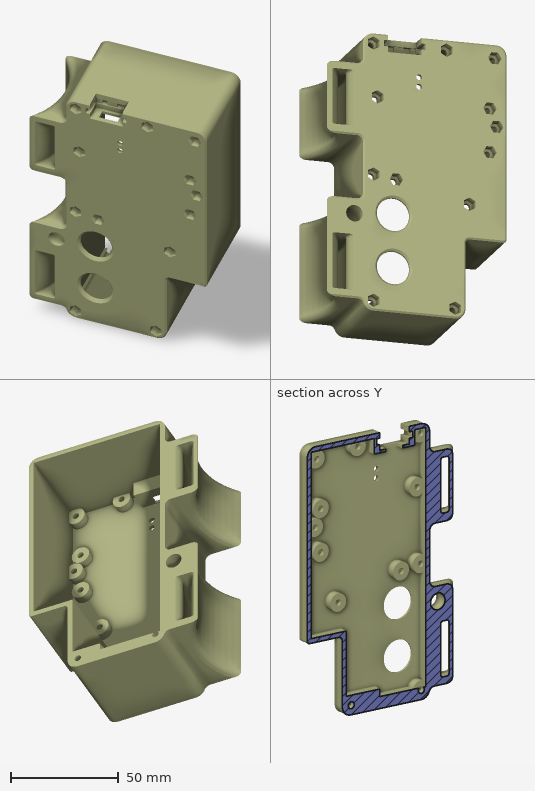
import cadquery as cq
import math

DEPTH = 44.75
HEIGHT = 135.0
WIDTH = 87.99
BODY_LEFT = 18.0
LOWER_RIGHT = 68.0
STEP_Z = 39.2
UPPER_LOBE = (84.7, 119.9)
LOWER_LOBE = (5.2, 54.0)

BODY_RADIUS = 5.0
LOBE_RADIUS = 3.0
STEP_INNER_RADIUS = 2.0
STEP_OUTER_RADIUS = 1.5
FRONT_CHAMFER = 0.8

TINY_LENGTH = 1e-6

WALL = 2.5
FLOOR = 6.1
FRONT_PLATE = 2.0

LEDGE_LEFT = 45.6
LEDGE_SLANT = 7.5
LEDGE_TOP = 9.8

GRIP_RADIUS = 33.0
GRIP_DEPTH = 9.0
GRIP_AXIS_X = GRIP_DEPTH - GRIP_RADIUS
GRIP_AXIS_Y = math.sqrt(GRIP_RADIUS**2 - GRIP_AXIS_X**2)
REAR_TIP_X = 1.2
LOBE_BLANK_LEFT = -5.0

STRAP_INNER_RADIUS = GRIP_RADIUS + 2.0
STRAP_OUTER_RADIUS = STRAP_INNER_RADIUS + 4.0
STRAP_MOUTH_RIGHT = 12.8
STRAP_BEVEL_X = 0.9
STRAP_BEVEL_Y = 1.5
STRAP_HEIGHT = 27.1
STRAP_EDGE_RADIUS = 1.0
STRAP_BOTTOMS = (9.0, 89.0)

NUTS_POINT_UP = [
    (22.9, 130.1), (58.6, 130.1), (24.8, 104.1), (22.9, 66.3),
    (69.8, 56.1), (22.9, 4.8), (62.8, 4.8),
]
NUTS_POINT_SIDE = [(82.1, 128.4), (79.7, 103.7), (83.0, 95.1), (79.7, 82.4), (34.0, 64.8)]
NUT_DIAMETER = 6.5
NUT_DEPTH = 4.5
POINT_UP_TURN = 30
SCREW_DIAMETER = 3.2
BOSS_DIAMETER = 9.0
BOSS_END = 6.3

LED_DIAMETER = 2.8
LED_CENTERS = [(45.1, 115.6), (45.1, 111.0)]
CORD_DIAMETER = 8.0
CORD_CENTER = (13.5, 46.3)
BUTTON_DIAMETER = 16.0
BUTTON_CHAMFER = 1.0
BUTTON_CENTERS = [(32.8, 47.8), (32.8, 21.9)]

SWITCH_X = (30.0, 46.3)
SWITCH_FLOOR = 126.4
SWITCH_DEPTH = 8.3
SWITCH_WALL = 1.5
GROOVE_X = (28.0, 48.2)
GROOVE_Z = (129.2, 132.1)
REAR_BAND_DEPTH = 0.5
NOTCHES_X = [(32.9, 35.6), (40.3, 43.7)]
NOTCH_DEPTH = 2.0
WINDOW_X = (33.7, 42.9)
WINDOW_Y = (2.3, 6.9)


def block(x, y, z):
    """Box spanning the given (low, high) ranges."""
    size = (x[1] - x[0], y[1] - y[0], z[1] - z[0])
    return cq.Workplane("XY").box(*size, centered=False).translate((x[0], y[0], z[0]))


def rods(centers, diameter, start, end):
    """Cylinders along Y at the given (x, z) centers."""
    plane = cq.Workplane("XZ", origin=(0, start, 0))
    return plane.pushPoints(centers).circle(diameter / 2).extrude(start - end)


def rounded_outline(corners):
    """XZ wire through (x, z, radius) corners, each rounded by its radius."""
    legs = []
    for i, (x, z, radius) in enumerate(corners):
        before = cq.Vector(*corners[i - 1][:2])
        after = cq.Vector(*corners[(i + 1) % len(corners)][:2])
        corner = cq.Vector(x, z)
        to_before = (before - corner).normalized()
        to_after = (after - corner).normalized()
        half_angle = to_before.getAngle(to_after) / 2
        setback = radius / math.tan(half_angle)
        bisector = (to_before + to_after).normalized()
        middle = corner + bisector * (radius / math.sin(half_angle) - radius)
        legs.append((corner + to_before * setback, middle, corner + to_after * setback))

    wire = cq.Workplane("XZ").moveTo(legs[-1][2].x, legs[-1][2].y)
    previous_end = legs[-1][2]
    for start, middle, end in legs:
        if (start - previous_end).Length > TINY_LENGTH:
            wire = wire.lineTo(start.x, start.y)
        if (end - start).Length > TINY_LENGTH:
            wire = wire.threePointArc((middle.x, middle.y), (end.x, end.y))
        previous_end = end
    return wire.close()


def case_outline():
    """Outer outline. Below the lower lobe the hollow and round corners run into each other."""
    rise = BODY_RADIUS - (LOWER_LOBE[0] - LOBE_RADIUS)
    span = BODY_RADIUS + LOBE_RADIUS
    run = math.sqrt(span**2 - rise**2)
    touch_x = BODY_LEFT + BODY_RADIUS * (1 - run / span)
    touch_z = BODY_RADIUS * (1 - rise / span)
    slope = rise / run
    return rounded_outline([
        (touch_x + slope * touch_z, 0, BODY_RADIUS),
        (LOWER_RIGHT, 0, BODY_RADIUS),
        (LOWER_RIGHT, STEP_Z, STEP_INNER_RADIUS),
        (WIDTH, STEP_Z, STEP_OUTER_RADIUS),
        (WIDTH, HEIGHT, BODY_RADIUS),
        (BODY_LEFT, HEIGHT, BODY_RADIUS),
        (BODY_LEFT, UPPER_LOBE[1], LOBE_RADIUS),
        (LOBE_BLANK_LEFT, UPPER_LOBE[1], 0),
        (LOBE_BLANK_LEFT, UPPER_LOBE[0], 0),
        (BODY_LEFT, UPPER_LOBE[0], LOBE_RADIUS),
        (BODY_LEFT, LOWER_LOBE[1], LOBE_RADIUS),
        (LOBE_BLANK_LEFT, LOWER_LOBE[1], 0),
        (LOBE_BLANK_LEFT, LOWER_LOBE[0], 0),
        (touch_x - slope * (LOWER_LOBE[0] - touch_z), LOWER_LOBE[0], LOBE_RADIUS),
    ])


def grip_cylinder(radius):
    """Full-height cylinder around the grip axis."""
    return cq.Workplane("XY", origin=(GRIP_AXIS_X, GRIP_AXIS_Y, 0)).circle(radius).extrude(HEIGHT)


def outer_block():
    """Outer shape with the grip surface, its rounded edges and the front chamfer."""
    blank = case_outline().extrude(-DEPTH)
    lobe_region = cq.selectors.BoxSelector((0, 0, 0), (GRIP_DEPTH, DEPTH, HEIGHT))
    gripped = blank.cut(grip_cylinder(GRIP_RADIUS))
    gripped = gripped.edges("%CIRCLE").edges(lobe_region).fillet(LOBE_RADIUS)

    chamfered = blank.faces("<Y").chamfer(FRONT_CHAMFER)
    tip_trim = block((LOBE_BLANK_LEFT, REAR_TIP_X), (GRIP_AXIS_Y, DEPTH), (0, HEIGHT))
    return gripped.intersect(chamfered).cut(tip_trim)


def cavity():
    """Hollow behind the front plate, open at the rear."""
    left = BODY_LEFT + WALL
    depth = (FRONT_PLATE, DEPTH)
    lower = block((left, LOWER_RIGHT - WALL), depth, (FLOOR, HEIGHT - WALL))
    upper = block((left, WIDTH - WALL), depth, (STEP_Z + WALL, HEIGHT - WALL))
    return lower.union(upper)


def ledge():
    """Raised part of the cavity floor at the lower right."""
    shift = math.tan(math.radians(LEDGE_SLANT))
    right = LOWER_RIGHT - WALL / 2
    return (
        cq.Workplane("XY")
        .polyline([
            (LEDGE_LEFT + shift * FRONT_CHAMFER, FRONT_CHAMFER),
            (right, FRONT_CHAMFER),
            (right, DEPTH),
            (LEDGE_LEFT + shift * DEPTH, DEPTH),
        ])
        .close()
        .extrude(LEDGE_TOP)
    )


def inner_parts():
    """Material inside the cavity around the screws and the switch recess, and the ledge."""
    posts = rods(NUTS_POINT_UP + NUTS_POINT_SIDE, BOSS_DIAMETER, FRONT_CHAMFER, BOSS_END)
    switch_box = block(
        (GROOVE_X[0] - SWITCH_WALL, GROOVE_X[1] + SWITCH_WALL),
        (FRONT_CHAMFER, SWITCH_DEPTH + NOTCH_DEPTH + SWITCH_WALL),
        (SWITCH_FLOOR - SWITCH_WALL, HEIGHT - WALL),
    )
    return posts.union(switch_box).union(ledge()).intersect(case_outline().extrude(-DEPTH))


def strap_flare(bottom):
    """Widening of the front channel mouth: a bevel, then an arc tangent to the outer wall."""
    axis = cq.Vector(GRIP_AXIS_X, GRIP_AXIS_Y)
    mouth = cq.Vector(STRAP_MOUTH_RIGHT, 0)
    lip = mouth + cq.Vector(-STRAP_BEVEL_X, STRAP_BEVEL_Y)
    into_wall = cq.Vector(STRAP_BEVEL_Y, STRAP_BEVEL_X).normalized()
    reach = lip - axis
    radius = (reach.dot(reach) - STRAP_OUTER_RADIUS**2) / (2 * (STRAP_OUTER_RADIUS - reach.dot(into_wall)))
    center = lip + into_wall * radius
    to_axis = (axis - center).normalized()
    junction = center + to_axis * radius
    middle = center + (to_axis - into_wall).normalized() * radius

    channel_middle = (STRAP_INNER_RADIUS + STRAP_OUTER_RADIUS) / 2
    inside_x = GRIP_AXIS_X + math.sqrt(channel_middle**2 - GRIP_AXIS_Y**2)
    return (
        cq.Workplane("XY", origin=(0, 0, bottom))
        .moveTo(inside_x, 0)
        .lineTo(mouth.x, mouth.y)
        .lineTo(lip.x, lip.y)
        .threePointArc((middle.x, middle.y), (junction.x, junction.y))
        .close()
        .extrude(STRAP_HEIGHT)
    )


def strap_channel(bottom):
    """Curved channel around the grip surface, open and flared at front and rear."""
    ring = (
        cq.Workplane("XY", origin=(GRIP_AXIS_X, GRIP_AXIS_Y, bottom))
        .circle(STRAP_OUTER_RADIUS)
        .circle(STRAP_INNER_RADIUS)
        .extrude(STRAP_HEIGHT)
    )
    run = block((0, BODY_LEFT), (0, 2 * GRIP_AXIS_Y), (bottom, bottom + STRAP_HEIGHT))
    flare = strap_flare(bottom)
    rear_flare = flare.mirror("XZ", (0, GRIP_AXIS_Y, 0))
    channel = ring.intersect(run).union(flare).union(rear_flare)
    return channel.faces("|Z").edges("not |X").fillet(STRAP_EDGE_RADIUS)


def nut_holes(centers, turn):
    """Screw holes through the front with hexagonal nut pockets, turned about Y."""
    holes = rods(centers, SCREW_DIAMETER, 0, DEPTH)
    for x, z in centers:
        hexagon = cq.Workplane("XZ").polygon(6, NUT_DIAMETER).extrude(-NUT_DEPTH)
        hexagon = hexagon.rotate((0, 0, 0), (0, 1, 0), turn).translate((x, 0, z))
        holes = holes.union(hexagon)
    return holes


def button_hole(center):
    """Hole through the front plate with a chamfered rim."""
    x, z = center
    rim = cq.Solid.makeCone(
        BUTTON_DIAMETER / 2 + BUTTON_CHAMFER, BUTTON_DIAMETER / 2, BUTTON_CHAMFER,
        pnt=cq.Vector(x, 0, z), dir=cq.Vector(0, 1, 0),
    )
    return rods([center], BUTTON_DIAMETER, 0, FRONT_PLATE).union(cq.Workplane(rim))


def switch_recess():
    """Recess in the top front edge with side grooves and a window through its floor."""
    recess = block(SWITCH_X, (0, SWITCH_DEPTH), (SWITCH_FLOOR, HEIGHT))
    groove = block(GROOVE_X, (0, SWITCH_DEPTH), GROOVE_Z)
    rear_band = block(SWITCH_X, (SWITCH_DEPTH, SWITCH_DEPTH + REAR_BAND_DEPTH), GROOVE_Z)
    window = block(WINDOW_X, WINDOW_Y, (SWITCH_FLOOR - SWITCH_WALL, SWITCH_FLOOR))
    recess = recess.union(groove).union(rear_band).union(window)
    for notch_x in NOTCHES_X:
        recess = recess.union(block(notch_x, (SWITCH_DEPTH, SWITCH_DEPTH + NOTCH_DEPTH), GROOVE_Z))
    return recess


result = outer_block().cut(cavity()).union(inner_parts())
result = result.cut(nut_holes(NUTS_POINT_UP, POINT_UP_TURN)).cut(nut_holes(NUTS_POINT_SIDE, 0))
result = result.cut(rods(LED_CENTERS, LED_DIAMETER, 0, DEPTH))
result = result.cut(rods([CORD_CENTER], CORD_DIAMETER, 0, DEPTH))
result = result.cut(switch_recess())
for button_center in BUTTON_CENTERS:
    result = result.cut(button_hole(button_center))
for strap_bottom in STRAP_BOTTOMS:
    result = result.cut(strap_channel(strap_bottom))